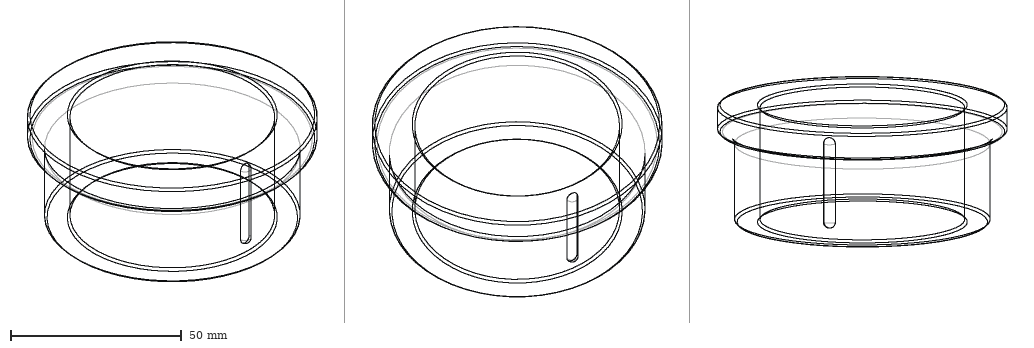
import cadquery as cq

flange_radius = 85.0 / 2
sleeve_radius = 75.0 / 2
bore_radius = 60.0 / 2
height = 35.0
flange_thickness = 8.0
edge_chamfer = 0.8
neck_fillet = 3.6

groove_radius = 1.8
groove_end_margin = 4.0


def make_flanged_sleeve():
    """Revolve the wall section: chamfered rims and a rounded neck under the flange."""
    flange_bottom = height - flange_thickness
    section = (
        cq.Workplane("XZ")
        .moveTo(bore_radius + edge_chamfer, 0)
        .lineTo(sleeve_radius - edge_chamfer, 0)
        .lineTo(sleeve_radius, edge_chamfer)
        .lineTo(sleeve_radius, flange_bottom - neck_fillet)
        .tangentArcPoint((neck_fillet, neck_fillet))
        .lineTo(flange_radius - edge_chamfer, flange_bottom)
        .lineTo(flange_radius, flange_bottom + edge_chamfer)
        .lineTo(flange_radius, height - edge_chamfer)
        .lineTo(flange_radius - edge_chamfer, height)
        .lineTo(bore_radius + edge_chamfer, height)
        .lineTo(bore_radius, height - edge_chamfer)
        .lineTo(bore_radius, edge_chamfer)
        .close()
    )
    return section.revolve(360, (0, 0, 0), (0, 1, 0))


def make_groove_cutter():
    """Build a vertical bar with ball ends, centred on the bore wall at +X."""
    low_centre = groove_end_margin + groove_radius
    high_centre = height - low_centre
    cutter = (
        cq.Workplane("XY", origin=(bore_radius, 0, low_centre))
        .circle(groove_radius)
        .extrude(high_centre - low_centre)
    )
    for centre in (low_centre, high_centre):
        ball = cq.Workplane("XY", origin=(bore_radius, 0, centre)).sphere(groove_radius)
        cutter = cutter.union(ball)
    return cutter


result = make_flanged_sleeve().cut(make_groove_cutter())